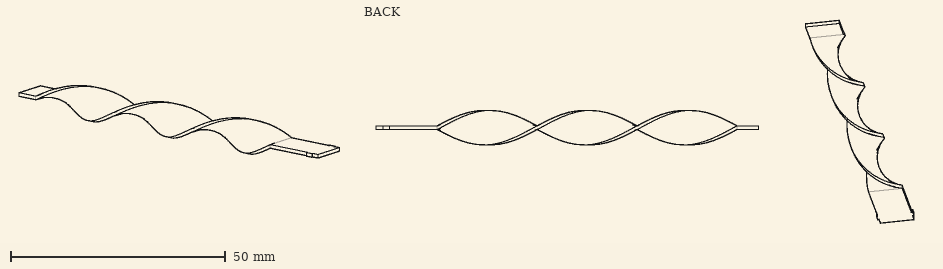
import cadquery as cq

length = 89.0
width = 8.0
thickness = 0.9

short_end = 5.0
long_end = 14.2
twist_length = length - short_end - long_end
half_turns = 3
twist_angle = -180.0 * half_turns

ear_span = 8.6
ear_length = 1.6
ear_end_gap = 1.6


def flat_bar(start, bar_length, bar_width):
    """Flat bar of strip thickness starting at the given X."""
    return cq.Workplane("YZ", origin=(start, 0, 0)).rect(bar_width, thickness).extrude(bar_length)


def twisted_bar(start):
    """Strip section swept along X while turning about the X axis."""
    section = cq.Workplane("YZ", origin=(start, 0, 0)).rect(width, thickness)
    return section.twistExtrude(twist_length, twist_angle)


short_flat = flat_bar(0, short_end, width)
twist = twisted_bar(short_end)
long_flat = flat_bar(length - long_end, long_end, width)
ears = flat_bar(length - ear_end_gap - ear_length, ear_length, ear_span)

result = short_flat.union(twist).union(long_flat.union(ears))